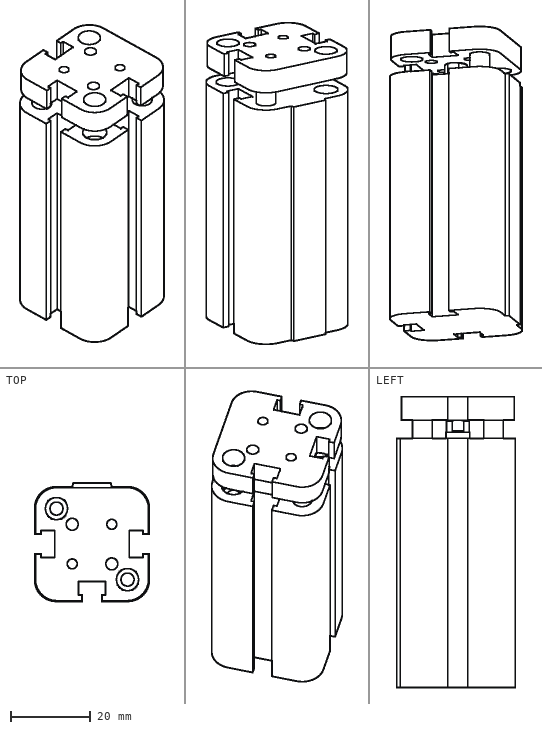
import cadquery as cq

total_height = 73.5
plate_thickness = 5.95
gap_height = 4.55
plate_bottom = total_height - plate_thickness
housing_height = plate_bottom - gap_height

housing_width = 29.0
plate_width = 28.5
corner_offset = 9.0

slot_mouth_width = 5.0
slot_inner_width = 6.75
slot_lip = 1.7
slot_depth = 5.1

ridge_height = 0.95
ridge_base_width = 10.0
ridge_top_width = 9.5

bolt_points = [(-corner_offset, corner_offset), (corner_offset, -corner_offset)]
bolt_hole_diameter = 3.3
bolt_hole_depth = 12.5
counterbore_diameter = 6.0
counterbore_depth = 3.5
access_hole_diameter = 5.6

guide_points = [(-corner_offset, -corner_offset), (corner_offset, corner_offset)]
guide_rod_diameter = 5.0

piston_rod_diameter = 6.0
piston_rod_exposed = 1.5
neck_diameter = 5.8
neck_chamfer = 0.2
flat_width = 5.0
flat_shoulder = 0.45

fixing_offset = 5.0
pin_hole_diameter = 3.0
screw_hole_diameter = 2.5
pin_hole_points = [(-fixing_offset, fixing_offset), (fixing_offset, -fixing_offset)]
screw_hole_points = [(-fixing_offset, -fixing_offset), (fixing_offset, fixing_offset)]


def rounded_square(width, bottom, height):
    """Square block on the Z axis whose corner arcs are centred on the corner offset."""
    return (
        cq.Workplane("XY", origin=(0, 0, bottom))
        .rect(width, width)
        .extrude(height)
        .edges("|Z")
        .fillet(width / 2 - corner_offset)
    )


def cylinders(points, diameter, bottom, height):
    """Vertical cylinders at the given points."""
    return cq.Workplane("XY", origin=(0, 0, bottom)).pushPoints(points).circle(diameter / 2).extrude(height)


def cut_slots(block):
    """Cut the T-slots into the -X, -Y and +X sides, along the full height."""
    side = housing_width / 2
    mouth = cq.Workplane("XY").box(
        slot_mouth_width, slot_depth, total_height, centered=(True, False, False)
    )
    inner = cq.Workplane("XY").box(
        slot_inner_width, slot_depth - slot_lip, total_height, centered=(True, False, False)
    )
    slot = mouth.translate((0, -side, 0)).union(inner.translate((0, slot_lip - side, 0)))
    for angle in (-90, 0, 90):
        block = block.cut(slot.rotate((0, 0, 0), (0, 0, 1), angle))
    return block


def make_ridge():
    """Tapered ridge on the +Y side, rising from the housing face."""
    base_y = housing_width / 2
    top_y = base_y + ridge_height
    return (
        cq.Workplane("XY")
        .polyline([
            (-ridge_base_width / 2, base_y),
            (ridge_base_width / 2, base_y),
            (ridge_top_width / 2, top_y),
            (-ridge_top_width / 2, top_y),
        ])
        .close()
        .extrude(housing_height)
    )


def make_housing():
    """Cylinder housing with slots, back ridge and counterbored blind bolt holes."""
    body = cut_slots(rounded_square(housing_width, 0, housing_height))
    body = body.union(make_ridge())
    bolt_hole_floor = housing_height - bolt_hole_depth
    body = body.cut(cylinders(bolt_points, bolt_hole_diameter, bolt_hole_floor, bolt_hole_depth))
    counterbore_floor = housing_height - counterbore_depth
    return body.cut(cylinders(bolt_points, counterbore_diameter, counterbore_floor, counterbore_depth))


def make_piston_rod():
    """Exposed piston rod: full diameter, then a chamfered neck with flats facing -X and +X."""
    centre = [(0, 0)]
    neck_bottom = housing_height + piston_rod_exposed
    rod = cylinders(centre, piston_rod_diameter, housing_height, piston_rod_exposed)
    neck = cylinders(centre, neck_diameter, neck_bottom, plate_bottom - neck_bottom)
    neck = neck.faces(">Z").chamfer(neck_chamfer)
    flats_bottom = neck_bottom + flat_shoulder
    flats_height = plate_bottom - flats_bottom
    keep = cq.Workplane("XY", origin=(0, 0, flats_bottom)).rect(flat_width, neck_diameter).extrude(flats_height)
    waste = (
        cq.Workplane("XY", origin=(0, 0, flats_bottom))
        .rect(2 * neck_diameter, 2 * neck_diameter)
        .extrude(flats_height)
        .cut(keep)
    )
    return rod.union(neck.cut(waste))


def make_carriage():
    """Front plate in one piece with its guide rods and piston rod, resting on the housing."""
    plate = cut_slots(rounded_square(plate_width, plate_bottom, plate_thickness))
    plate_holes = [
        (bolt_points, access_hole_diameter),
        (pin_hole_points, pin_hole_diameter),
        (screw_hole_points, screw_hole_diameter),
    ]
    for points, diameter in plate_holes:
        plate = plate.cut(cylinders(points, diameter, plate_bottom, plate_thickness))
    guide_rods = cylinders(guide_points, guide_rod_diameter, housing_height, gap_height)
    return plate.union(guide_rods).union(make_piston_rod())


housing = make_housing()
carriage = make_carriage()

result = cq.Compound.makeCompound([housing.val(), carriage.val()])